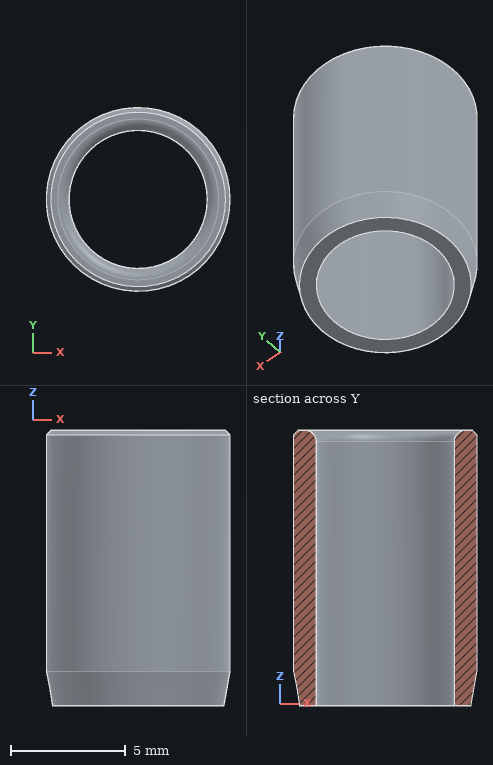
import cadquery as cq
import math

height = 12.0
outer_diameter = 8.0
bore_diameter = 6.0
top_chamfer = 0.2
mouth_radius = 0.5

taper_height = 1.5
taper_angle = 10.0

outer_radius = outer_diameter / 2
bore_radius = bore_diameter / 2
bottom_radius = outer_radius - taper_height * math.tan(math.radians(taper_angle))

mouth_center_radius = bore_radius + mouth_radius
mouth_center_height = height - mouth_radius
mouth_offset = mouth_radius * math.sqrt(0.5)
mouth_midpoint = (mouth_center_radius - mouth_offset, mouth_center_height + mouth_offset)

wall_section = (
    cq.Workplane("XZ")
    .moveTo(bore_radius, 0)
    .lineTo(bottom_radius, 0)
    .lineTo(outer_radius, taper_height)
    .lineTo(outer_radius, height - top_chamfer)
    .lineTo(outer_radius - top_chamfer, height)
    .lineTo(mouth_center_radius, height)
    .threePointArc(mouth_midpoint, (bore_radius, mouth_center_height))
    .close()
)

result = wall_section.revolve(360, (0, 0, 0), (0, 1, 0))